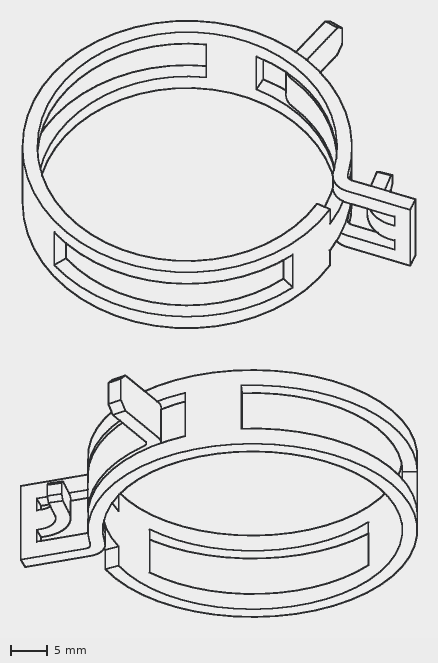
import cadquery as cq
import math


ring_diameter = 45.6
overall_depth = 50.4
strip_thickness = 2.05
band_height = 12.0
outer_radius = ring_diameter / 2
middle_radius = outer_radius - strip_thickness / 2

arm_angle = 52.4
arm_offset = 2.55
bend_inner_radius = 0.9
bend_radius = bend_inner_radius + strip_thickness / 2

shoulder_angle = 43.8
tongue_height = 5.75
tongue_chamfer = 1.15
slot_height = 7.0
slot_end_margin = 2.3

tab_height = 3.2
tab_turn = 87.0
tab_inner_radius = 2.9
tab_root_length = 0.65
tab_tip_length = 4.2
tab_chamfer = 0.7

window_start_angle = -70.2
window_end_angle = 23.6

cut_thickness = strip_thickness + 0.5

bend_centre_radius = outer_radius + bend_inner_radius
arm_lean = math.degrees(math.asin((arm_offset + bend_inner_radius) / bend_centre_radius))
bend_start_angle = arm_angle + arm_lean
bend_turn = 90 - arm_lean
arm_start_reach = bend_centre_radius * math.cos(math.radians(arm_lean))
arm_tip_y = overall_depth - outer_radius
arm_tip_reach = (
    arm_tip_y - arm_offset * math.cos(math.radians(arm_angle))
) / math.sin(math.radians(arm_angle))
arm_length = arm_tip_reach - arm_start_reach


def polar(radius, angle):
    return (radius * math.cos(math.radians(angle)), radius * math.sin(math.radians(angle)))


def moved(point, distance, heading):
    step = polar(distance, heading)
    return (point[0] + step[0], point[1] + step[1])


def straight(length):
    """Path leg that runs straight on."""
    return ("straight", length, 0)


def turn(radius, angle):
    """Path leg that turns about a centre; a positive angle turns left."""
    return ("turn", radius, angle)


def advance(point, heading, leg, fraction=1.0):
    """Point and heading reached after a fraction of one leg."""
    kind, size, angle = leg
    if kind == "straight":
        return moved(point, size * fraction, heading), heading
    side = math.copysign(90, angle)
    centre = moved(point, size, heading + side)
    new_heading = heading + angle * fraction
    return moved(centre, size, new_heading - side), new_heading


def path_end(start, heading, legs):
    for leg in legs:
        start, heading = advance(start, heading, leg)
    return start, heading


def draw_edge(outline, leg, middle, end):
    """Extend an outline along one side of one leg."""
    if leg[0] == "straight":
        return outline.lineTo(*end)
    return outline.threePointArc(middle, end)


def strip(start, heading, legs, height, thickness=strip_thickness):
    """Strip of constant thickness standing along a centreline in the XY plane."""
    stations = [(start, heading)]
    middles = []
    for leg in legs:
        middles.append(advance(*stations[-1], leg, 0.5))
        stations.append(advance(*stations[-1], leg))

    def right_of(station):
        return moved(station[0], thickness / 2, station[1] - 90)

    def left_of(station):
        return moved(station[0], thickness / 2, station[1] + 90)

    outline = cq.Workplane("XY").moveTo(*right_of(stations[0]))
    for leg, middle, end in zip(legs, middles, stations[1:]):
        outline = draw_edge(outline, leg, right_of(middle), right_of(end))
    outline = outline.lineTo(*left_of(stations[-1]))
    for leg, middle, end in reversed(list(zip(legs, middles, stations))):
        outline = draw_edge(outline, leg, left_of(middle), left_of(end))
    return outline.close().extrude(height / 2, both=True)


def chamfer_tip(body, tip, size):
    """Chamfer the top and bottom corners of a strip's free end."""
    end_face = cq.selectors.NearestToPointSelector((tip[0], tip[1], 0))
    return body.faces(end_face).edges("#Z").chamfer(size)


def forked_path(start_angle, last_arm_length):
    """Clockwise round the ring from an angle, then out along the right-hand arm."""
    sweep = (start_angle - bend_start_angle) % 360
    legs = [turn(middle_radius, -sweep), turn(bend_radius, bend_turn), straight(last_arm_length)]
    return polar(middle_radius, start_angle), start_angle - 90, legs


band = strip(*forked_path(shoulder_angle, arm_length), band_height)
slot_path = forked_path(180 - shoulder_angle, arm_length - slot_end_margin)
band = band.cut(strip(*slot_path, slot_height, cut_thickness))

window = strip(
    polar(middle_radius, window_start_angle),
    window_start_angle + 90,
    [turn(middle_radius, window_end_angle - window_start_angle)],
    slot_height,
    cut_thickness,
)
band = band.cut(window).cut(window.mirror("YZ"))

tongue_path = (
    polar(middle_radius, shoulder_angle),
    shoulder_angle + 90,
    [
        turn(middle_radius, 180 - bend_start_angle - shoulder_angle),
        turn(bend_radius, -bend_turn),
        straight(arm_length),
    ],
)
tongue_tip = path_end(*tongue_path)[0]
tongue = chamfer_tip(strip(*tongue_path, tongue_height), tongue_tip, tongue_chamfer)

slot_end = path_end(*slot_path)[0]
tab_path = (
    slot_end,
    arm_angle + 180,
    [
        straight(tab_root_length),
        turn(tab_inner_radius + strip_thickness / 2, -tab_turn),
        straight(tab_tip_length),
    ],
)
tab_tip = path_end(*tab_path)[0]
tab = chamfer_tip(strip(*tab_path, tab_height), tab_tip, tab_chamfer)

result = band.union(tongue).union(tab)